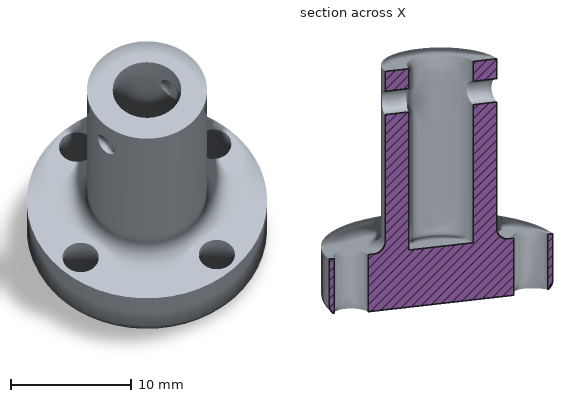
import cadquery as cq

total_height = 20.75
flange_diameter = 20.0
flange_thickness = 5.0
shaft_diameter = 10.0
edge_radius = 1.0

bore_diameter = 5.7
bore_depth = total_height - flange_thickness

mounting_hole_diameter = 3.0
mounting_circle_radius = 8.0
mounting_hole_count = 4

pin_hole_diameter = 2.0
pin_hole_from_top = 2.75


def make_flange():
    flange = cq.Workplane("XY").circle(flange_diameter / 2).extrude(flange_thickness)
    return flange.faces("<Z").edges().fillet(edge_radius)


def add_shaft(body):
    shaft = cq.Workplane("XY").circle(shaft_diameter / 2).extrude(total_height)
    joined = body.union(shaft)
    flange_top = joined.faces("+Z").faces("<Z")
    return flange_top.edges(cq.selectors.RadiusNthSelector(0)).fillet(edge_radius)


def make_bore():
    bore = cq.Workplane("XY").workplane(offset=total_height - bore_depth)
    return bore.circle(bore_diameter / 2).extrude(bore_depth)


def make_mounting_holes():
    holes = cq.Workplane("XY").polarArray(mounting_circle_radius, 0, 360, mounting_hole_count)
    return holes.circle(mounting_hole_diameter / 2).extrude(flange_thickness)


def make_pin_hole():
    pin_hole = cq.Workplane("XZ").center(0, total_height - pin_hole_from_top)
    return pin_hole.circle(pin_hole_diameter / 2).extrude(shaft_diameter, both=True)


body = add_shaft(make_flange())
result = body.cut(make_bore()).cut(make_mounting_holes()).cut(make_pin_hole())